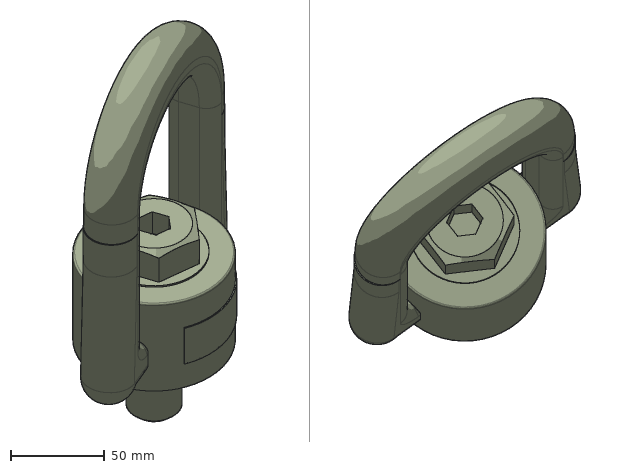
import cadquery as cq
import math


total_height = 252.0
shank_radius = 15.0
shank_chamfer = 3.8

drum_radius = 43.5
drum_bottom = 48.5
drum_top = 109.0
drum_edge = 1.0
washer_radius = 29.5
washer_height = 1.0

head_flats = 46.0
head_top = 129.0
head_crown_radius = 20.7
head_bevel_drop = 2.3
socket_flats = 17.0
socket_depth = 15.0

pad_height = 0.8
pad_bottom = 65.3
pad_top = 90.2
pad_half_angle = 44.0

wire_radius = 15.0
crown_outer_radius = 69.8
crown_axis_radius = crown_outer_radius - wire_radius
crown_center_z = total_height - crown_outer_radius
collar_z = 168.5
collar_axis_y = 55.5
taper_start_z = 146.5
foot_span = 148.0
foot_axis_y = foot_span / 2 - wire_radius
foot_z = 67.0
inner_half_width = 45.4
inner_center_z = 177.5
inner_rounding = 9.0

trunnion_top = 83.5
trunnion_drop = 10.3
trunnion_fillet = 2.8
trunnion_end_y = 35.3


def cylinder(radius, bottom, top):
    return cq.Workplane("XY").workplane(offset=bottom).circle(radius).extrude(top - bottom)


def across_corners(flats):
    return flats / math.cos(math.radians(30))


def hexagon(flats, bottom, top):
    """Hexagonal prism with corners on the X axis."""
    base = cq.Workplane("XY").workplane(offset=bottom)
    return base.polygon(6, across_corners(flats)).extrude(top - bottom)


def make_drum():
    shank = cylinder(shank_radius, 0, drum_top).faces("<Z").chamfer(shank_chamfer)
    body = cylinder(drum_radius, drum_bottom, drum_top).faces(">Z").edges().fillet(drum_edge)
    washer = cylinder(washer_radius, drum_top, drum_top + washer_height)
    return body.union(shank).union(washer)


def make_head():
    head = hexagon(head_flats, drum_top, head_top)
    corner_radius = across_corners(head_flats) / 2
    bevel_envelope = (
        cq.Workplane("XZ")
        .moveTo(0, drum_top)
        .lineTo(corner_radius, drum_top)
        .lineTo(corner_radius, head_top - head_bevel_drop)
        .lineTo(head_crown_radius, head_top)
        .lineTo(0, head_top)
        .close()
        .revolve(360, (0, 0, 0), (0, 1, 0))
    )
    return head.intersect(bevel_envelope)


def make_name_pad():
    reach = 2 * drum_radius
    spread = reach * math.tan(math.radians(pad_half_angle))
    sector = (
        cq.Workplane("XY")
        .workplane(offset=pad_bottom)
        .polyline([(0, 0), (reach, -spread), (reach, spread)])
        .close()
        .extrude(pad_top - pad_bottom)
    )
    return cylinder(drum_radius + pad_height, pad_bottom, pad_top).intersect(sector)


def half_round(workplane, axis_y, side):
    """Half disc on the outer side of the wire axis."""
    return (
        workplane.moveTo(-wire_radius, axis_y)
        .threePointArc((0, axis_y + side * wire_radius), (wire_radius, axis_y))
        .close()
    )


def make_crown_outside():
    base = cq.Workplane("XY").workplane(offset=crown_center_z)
    return half_round(base, crown_axis_radius, 1).revolve(180, (0, 0, 0), (1, 0, 0))


def make_leg_outside(side):
    """Half-round outer side of one leg, from the crown down to its ball-shaped foot."""
    neck_base = cq.Workplane("XY").workplane(offset=collar_z)
    neck = half_round(neck_base, side * crown_axis_radius, side).extrude(crown_center_z - collar_z)
    shaft_base = cq.Workplane("XY").workplane(offset=taper_start_z)
    shaft = half_round(shaft_base, side * collar_axis_y, side).extrude(collar_z - taper_start_z)
    foot_section = half_round(cq.Workplane("XY").workplane(offset=foot_z), side * foot_axis_y, side)
    taper_top = foot_section.workplane(offset=taper_start_z - foot_z)
    taper = half_round(taper_top, side * collar_axis_y, side).loft(ruled=True)
    foot = cq.Workplane("XY").sphere(wire_radius).translate((0, side * foot_axis_y, foot_z))
    return neck.union(shaft).union(taper).union(foot)


def make_loop_inside():
    """Inner side of the loop, from the wire axis to the flat, with the upper half of both trunnions."""
    fillet_start_z = trunnion_top + trunnion_fillet
    fillet_end_y = inner_half_width - trunnion_fillet
    bend = trunnion_fillet * math.sqrt(0.5)
    fillet_mid_y = fillet_end_y + bend
    fillet_mid_z = fillet_start_z - bend
    outline = (
        cq.Workplane("YZ")
        .workplane(offset=-wire_radius)
        .moveTo(foot_axis_y, foot_z)
        .lineTo(collar_axis_y, taper_start_z)
        .lineTo(collar_axis_y, collar_z)
        .lineTo(crown_axis_radius, collar_z)
        .lineTo(crown_axis_radius, crown_center_z)
        .threePointArc((0, crown_center_z + crown_axis_radius), (-crown_axis_radius, crown_center_z))
        .lineTo(-crown_axis_radius, collar_z)
        .lineTo(-collar_axis_y, collar_z)
        .lineTo(-collar_axis_y, taper_start_z)
        .lineTo(-foot_axis_y, foot_z)
        .lineTo(-trunnion_end_y, foot_z)
        .lineTo(-trunnion_end_y, trunnion_top)
        .lineTo(-fillet_end_y, trunnion_top)
        .threePointArc((-fillet_mid_y, fillet_mid_z), (-inner_half_width, fillet_start_z))
        .lineTo(-inner_half_width, inner_center_z)
        .threePointArc((0, inner_center_z + inner_half_width), (inner_half_width, inner_center_z))
        .lineTo(inner_half_width, fillet_start_z)
        .threePointArc((fillet_mid_y, fillet_mid_z), (fillet_end_y, trunnion_top))
        .lineTo(trunnion_end_y, trunnion_top)
        .lineTo(trunnion_end_y, foot_z)
        .close()
    )
    slab = outline.extrude(2 * wire_radius)
    inner_leg_middle_z = (fillet_start_z + inner_center_z) / 2
    for x in (-wire_radius, wire_radius):
        leg_edge = cq.selectors.NearestToPointSelector((x, inner_half_width, inner_leg_middle_z))
        slab = slab.edges(leg_edge).fillet(inner_rounding)
    return slab


def make_trunnion_underside(side):
    """Half-elliptical lower side of one trunnion."""
    half_ellipse = (
        cq.Workplane("XZ")
        .workplane(offset=-side * trunnion_end_y)
        .center(0, foot_z)
        .ellipse(wire_radius, trunnion_drop)
        .extrude(-side * (foot_axis_y - trunnion_end_y))
    )
    lower_space = cq.Workplane("XY").box(total_height, total_height, foot_z, centered=(True, True, False))
    return half_ellipse.intersect(lower_space)


fastener = make_drum().union(make_head()).union(make_name_pad())
socket = hexagon(socket_flats, head_top - socket_depth, head_top)
loop = make_loop_inside().union(make_crown_outside())
for side in (-1, 1):
    loop = loop.union(make_leg_outside(side)).union(make_trunnion_underside(side))
result = fastener.cut(socket).union(loop)